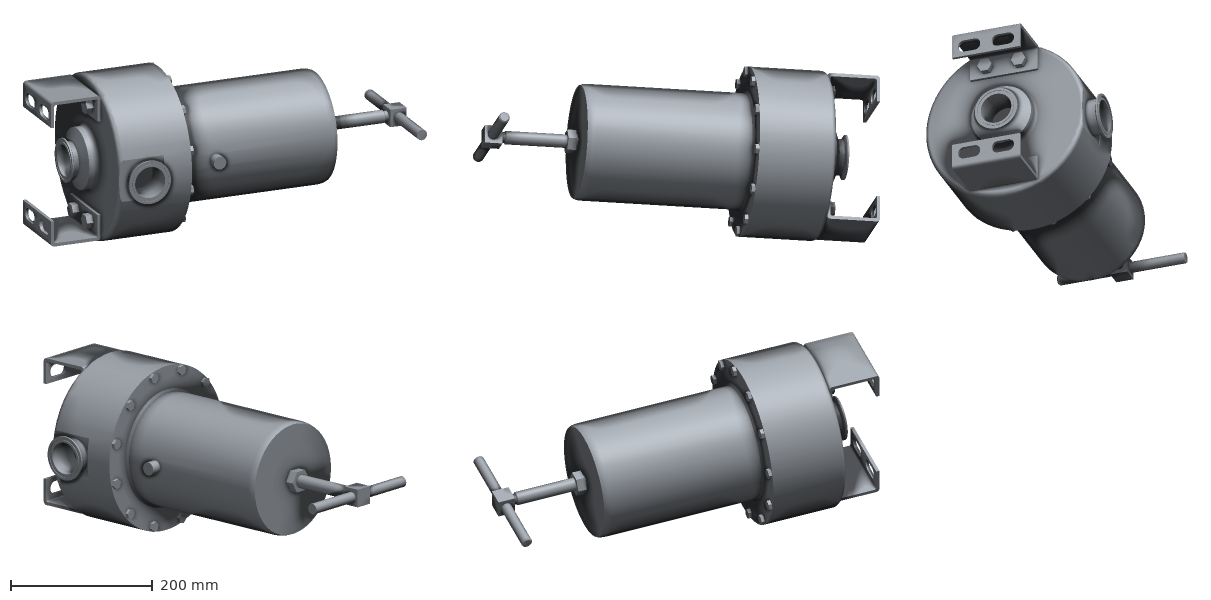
import cadquery as cq
import math


body_radius = 120.27
body_fillet = 6.5
flange_start = 68.5
flange_end = 110.5
outlet_flat_x = 116.3

flange_bolt_count = 12
flange_bolt_circle_radius = 112.6
flange_bolt_width = 13.0
flange_bolt_height = 5.0

housing_radius = 82.55
housing_end = 350.2
housing_weld_size = 3.4
crown_length = 10.0
crown_drop = 2.2

breather_y = 163.2
breather_radius = 9.5
breather_tip_x = 97.3

boss_radius = 45.0
boss_fillet = 5.6
boss_cylinder_end = 15.0
boss_length = 22.8
inlet_length = 35.5
overall_width = 256.49
outlet_tip_x = overall_width - body_radius
outlet_y = 39.6
tube_radius = 26.0
bore_radius = 23.0
bore_depth = 45.0
ferrule_radius = 32.0
ferrule_rim = 2.5
ferrule_taper = 3.0
gasket_groove_radius = 27.5
gasket_groove_width = 2.0
gasket_groove_depth = 1.0

bracket_reach = 76.0
bracket_width = 102.0
bracket_outer_z = 107.7
bracket_leg = 38.0
bracket_thickness = 4.76
bracket_bend_radius = 5.0
bracket_inner_radius = 2.5
slot_spacing = 50.8
slot_length = 33.5
slot_width = 18.0
slot_z = 85.6

bracket_bolt_width = 19.0
bracket_bolt_height = 10.0

overall_end = 484.58
lock_washer_radius = 11.25
lock_nut_start = 352.7
lock_nut_end = 365.4
lock_nut_width = 29.6
screw_radius = 9.5
screw_chamfer = 1.5
screw_end = 454.4
neck_radius = 7.5
block_length = 25.0
block_width = 26.0
handle_radius = 7.8
handle_half_length = 95.9
handle_setback = 11.7
handle_chamfer = 2.0


def cylinder_y(radius, start, end):
    """Cylinder on the main axis between two Y positions."""
    return cq.Workplane("XZ", origin=(0, start, 0)).circle(radius).extrude(start - end)


def hex_y(width, start, end, x=0.0, z=0.0, turn=0.0):
    """Hexagonal prism along Y; at zero turn two of its corners point along X."""
    corner_diameter = width / math.cos(math.pi / 6)
    prism = cq.Workplane("XZ").polygon(6, corner_diameter).extrude(start - end)
    return prism.rotate((0, 0, 0), (0, 1, 0), -turn).translate((x, start, z))


def make_body():
    """Round body and flange in one, with the outlet flat cut on the body's +X side."""
    body = cylinder_y(body_radius, 0, flange_end)
    body = body.faces("<Y").edges().fillet(body_fillet)
    side_cut = cq.Workplane("XY").box(
        body_radius, flange_start, 2 * body_radius, centered=(False, False, True)
    )
    return body.cut(side_cut.translate((outlet_flat_x, 0, 0)))


def make_flange_bolts():
    """Ring of hex heads on the flange, each with a corner pointing outward."""
    bolts = cq.Workplane("XY")
    step = 360.0 / flange_bolt_count
    for index in range(flange_bolt_count):
        angle = (index + 0.5) * step
        x = flange_bolt_circle_radius * math.cos(math.radians(angle))
        z = flange_bolt_circle_radius * math.sin(math.radians(angle))
        head_end = flange_end + flange_bolt_height
        bolts = bolts.add(hex_y(flange_bolt_width, flange_end, head_end, x, z, angle))
    return bolts.combine()


def make_spring_housing():
    """Spring cylinder with a conical weld at the flange and a slightly crowned end."""
    crown_start = housing_end - crown_length
    profile = (
        cq.Workplane("XY")
        .moveTo(0, flange_end)
        .lineTo(housing_radius + housing_weld_size, flange_end)
        .lineTo(housing_radius, flange_end + housing_weld_size)
        .lineTo(housing_radius, crown_start)
        .tangentArcPoint((housing_radius - crown_drop, housing_end), relative=False)
        .lineTo(0, housing_end)
        .close()
    )
    housing = profile.revolve(360, (0, 0, 0), (0, 1, 0))
    breather = (
        cq.Workplane("YZ").center(breather_y, 0).circle(breather_radius).extrude(breather_tip_x)
    )
    return housing.union(breather)


def make_nozzle(length):
    """Tube along -Y from the origin, ending in a clamp ferrule with a gasket groove."""
    rim_start = length - ferrule_rim
    groove_inner = gasket_groove_radius - gasket_groove_width / 2
    groove_outer = gasket_groove_radius + gasket_groove_width / 2
    groove_floor = length - gasket_groove_depth
    profile = (
        cq.Workplane("XY")
        .moveTo(0, 0)
        .lineTo(tube_radius, 0)
        .lineTo(tube_radius, -(rim_start - ferrule_taper))
        .lineTo(ferrule_radius, -rim_start)
        .lineTo(ferrule_radius, -length)
        .lineTo(groove_outer, -length)
        .lineTo(groove_outer, -groove_floor)
        .lineTo(groove_inner, -groove_floor)
        .lineTo(groove_inner, -length)
        .lineTo(0, -length)
        .close()
    )
    return profile.revolve(360, (0, 0, 0), (0, 1, 0))


def make_bore(length):
    """Blind bore entering the tip of a nozzle of the given length."""
    return cylinder_y(bore_radius, -length, bore_depth - length)


def place_outlet(shape):
    """Turn a -Y nozzle shape to +X and seat it on the flat of the body."""
    return shape.rotate((0, 0, 0), (0, 0, 1), 90).translate((outlet_flat_x, outlet_y, 0))


def make_inlet_boss():
    """Stepped boss that blends into the inlet face and tapers to the inlet tube."""
    fillet_radius = boss_radius + boss_fillet
    bulge = boss_fillet * (1 - math.sqrt(0.5))
    profile = (
        cq.Workplane("XY")
        .moveTo(0, 0)
        .lineTo(fillet_radius, 0)
        .threePointArc((boss_radius + bulge, -bulge), (boss_radius, -boss_fillet))
        .lineTo(boss_radius, -boss_cylinder_end)
        .lineTo(tube_radius, -boss_length)
        .lineTo(0, -boss_length)
        .close()
    )
    return profile.revolve(360, (0, 0, 0), (0, 1, 0))


def make_bracket():
    """Upper C-shaped bracket, open toward the main axis, with its two bolts."""
    inner_z = bracket_outer_z - bracket_thickness
    channel = cq.Workplane("XY").box(bracket_width, bracket_reach, bracket_leg)
    channel = channel.translate((0, -bracket_reach / 2, bracket_outer_z - bracket_leg / 2))
    channel = channel.edges("|X and >Z").fillet(bracket_bend_radius)
    opening = cq.Workplane("XY").box(
        bracket_width, bracket_reach - 2 * bracket_thickness, bracket_leg
    )
    opening = opening.edges("|X and >Z").fillet(bracket_inner_radius)
    opening = opening.translate((0, -bracket_reach / 2, inner_z - bracket_leg / 2))
    slots = (
        cq.Workplane("XZ", origin=(0, -bracket_reach + bracket_thickness, slot_z))
        .pushPoints([(-slot_spacing / 2, 0), (slot_spacing / 2, 0)])
        .slot2D(slot_length, slot_width)
        .extrude(bracket_thickness)
    )
    bracket = channel.cut(opening).cut(slots)
    head_start = -bracket_thickness - bracket_bolt_height
    for side in (-1, 1):
        x = side * slot_spacing / 2
        head = hex_y(bracket_bolt_width, head_start, -bracket_thickness, x, slot_z)
        bracket = bracket.union(head)
    return bracket


def make_adjusting_screw():
    """Screw with washer, lock nut, necked end, square block and cross handle."""
    block_start = overall_end - block_length
    handle_y = overall_end - handle_setback
    washer = cylinder_y(lock_washer_radius, housing_end, lock_nut_start)
    lock_nut = hex_y(lock_nut_width, lock_nut_start, lock_nut_end)
    screw = cylinder_y(screw_radius, lock_nut_start, screw_end)
    screw = screw.faces(">Y").chamfer(screw_chamfer)
    neck = cylinder_y(neck_radius, lock_nut_start, handle_y)
    block = cq.Workplane("XY").box(block_width, block_length, block_width)
    block = block.translate((0, block_start + block_length / 2, 0))
    handle = (
        cq.Workplane("YZ", origin=(-handle_half_length, handle_y, 0))
        .circle(handle_radius)
        .extrude(2 * handle_half_length)
        .faces("<X")
        .chamfer(handle_chamfer)
    )
    return washer.union(lock_nut).union(screw).union(neck).union(block).union(handle)


outlet_length = outlet_tip_x - outlet_flat_x
upper_bracket = make_bracket()
lower_bracket = upper_bracket.mirror("XY")

result = (
    make_body()
    .union(make_flange_bolts())
    .union(make_spring_housing())
    .union(make_inlet_boss())
    .union(make_nozzle(inlet_length))
    .union(place_outlet(make_nozzle(outlet_length)))
    .union(upper_bracket)
    .union(lower_bracket)
    .union(make_adjusting_screw())
    .cut(make_bore(inlet_length))
    .cut(place_outlet(make_bore(outlet_length)))
)